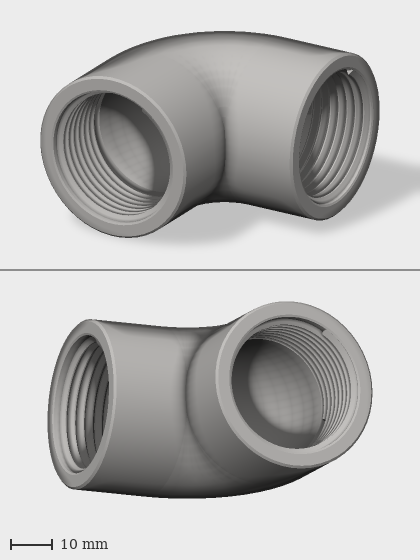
import cadquery as cq

overall_length = 59.5
outer_diameter = 41.0
socket_length = 19.2
socket_bore_diameter = 33.25
mouth_diameter = 34.2
passage_diameter = 30.7
flare_depth = 0.25
rim_chamfer = 0.55

thread_pitch = 2.3
thread_turns = 7.2
thread_root_width = 2.0
thread_crest_width = 0.3
thread_start_angle = -60.0

outer_radius = outer_diameter / 2
bore_radius = socket_bore_diameter / 2
passage_radius = passage_diameter / 2
bend_radius = overall_length - socket_length - outer_radius
thread_height = bore_radius - passage_radius

socket_planes = [
    cq.Plane(origin=(-bend_radius, -socket_length, 0), xDir=(1, 0, 0), normal=(0, 1, 0)),
    cq.Plane(origin=(socket_length, bend_radius, 0), xDir=(0, 1, 0), normal=(-1, 0, 0)),
]


def make_bend(radius):
    """Quarter turn of a round section, keeping only the part outside the bend axis."""
    section = cq.Sketch().push([(-bend_radius, 0)]).circle(radius).reset()
    keep_width = 2 * (bend_radius + radius)
    section = section.push([(keep_width / 2, 0)]).rect(keep_width, keep_width, mode="s").reset()
    return cq.Workplane("XZ").placeSketch(section).revolve(90, (0, 0, 0), (0, -1, 0))


def make_sleeve(plane):
    """Outside of one socket, with a chamfered rim at the mouth."""
    sleeve = cq.Workplane(plane).circle(outer_radius).extrude(socket_length)
    rim = cq.selectors.NearestToPointSelector(plane.origin.toTuple())
    return sleeve.faces(rim).chamfer(rim_chamfer)


def make_bore(plane):
    """Space inside one socket, flared at the mouth."""
    bore = cq.Workplane(plane).circle(bore_radius).extrude(socket_length)
    flare = cq.Solid.makeCone(
        mouth_diameter / 2, bore_radius, flare_depth, pnt=plane.origin, dir=plane.zDir
    )
    return bore.union(cq.Workplane(flare))


def make_elbow():
    """Bend and two sockets as one hollow body."""
    elbow = make_bend(outer_radius)
    for plane in socket_planes:
        elbow = elbow.union(make_sleeve(plane))
    elbow = elbow.cut(make_bend(passage_radius))
    for plane in socket_planes:
        elbow = elbow.cut(make_bore(plane))
    return elbow


def make_thread(plane):
    """Trapezoidal helical ridge seated on the bore wall of one socket."""
    start = flare_depth + thread_root_width / 2
    helix = cq.Wire.makeHelix(thread_pitch, thread_turns * thread_pitch, bore_radius)
    ridge = (
        cq.Workplane("XZ")
        .moveTo(bore_radius, -thread_root_width / 2)
        .lineTo(bore_radius - thread_height, -thread_crest_width / 2)
        .lineTo(bore_radius - thread_height, thread_crest_width / 2)
        .lineTo(bore_radius, thread_root_width / 2)
        .close()
        .sweep(cq.Workplane(helix), isFrenet=True)
        .rotate((0, 0, 0), (0, 0, 1), thread_start_angle)
        .translate((0, 0, start))
    )
    return ridge.val().moved(cq.Location(plane))


elbow = make_elbow()
threads = [make_thread(plane) for plane in socket_planes]

result = cq.Compound.makeCompound([elbow.val(), *threads])